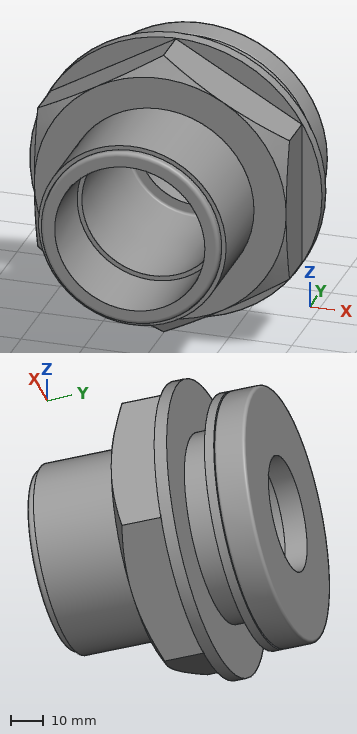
import cadquery as cq
import math

total_length = 74.0
tip_length = 2.6
nut_front = 31.1
nut_hex_length = 16.0
nut_collar_length = 4.0
gasket_thickness = 3.0
flange_thickness = 10.0
flange_front = total_length - flange_thickness
gasket_front = flange_front - gasket_thickness

collar_radius = 46.5
flange_radius = 40.1
tube_radius = 29.85
tip_radius = 28.5
tip_round = 1.2
flange_round = 1.0

socket_radius = 23.9
socket_depth = 23.0
taper_start_radius = 22.4
taper_end_radius = 21.9
taper_end = 67.0
bore_round = 0.8
hole_radius = 18.1

hex_corner_radius = flange_radius / math.cos(math.pi / 6)
chamfer_length = 3.4


def cylinder(radius, start, length):
    """Solid cylinder along +Y, starting at the given Y position."""
    return cq.Workplane("XZ", origin=(0, start, 0)).circle(radius).extrude(-length)


def make_bore():
    """Revolved cutter for the socket, the tapered bore and the end hole."""
    profile = (
        cq.Workplane("XY")
        .lineTo(socket_radius, 0)
        .lineTo(socket_radius, socket_depth)
        .lineTo(taper_start_radius, socket_depth)
        .lineTo(taper_end_radius, taper_end - bore_round)
        .radiusArc((taper_end_radius - bore_round, taper_end), -bore_round)
        .lineTo(hole_radius, taper_end)
        .lineTo(hole_radius, total_length)
        .lineTo(0, total_length)
        .close()
    )
    return profile.revolve(360, (0, 0, 0), (0, 1, 0))


def make_housing():
    """Flanged tube with a rounded tip and a stepped bore."""
    tip = cylinder(tip_radius, 0, tip_length).faces("<Y").edges().fillet(tip_round)
    tube = cylinder(tube_radius, tip_length, flange_front - tip_length)
    flange = cylinder(flange_radius, flange_front, flange_thickness).edges().fillet(flange_round)
    return tip.union(tube).union(flange).cut(make_bore())


def make_gasket():
    """Flat sealing ring against the front of the flange."""
    ring = cylinder(flange_radius, gasket_front, gasket_thickness)
    return ring.cut(cylinder(tube_radius, gasket_front, gasket_thickness))


def make_nut():
    """Hexagon nut with chamfered corners and a round collar."""
    hexagon = (
        cq.Workplane("XZ", origin=(0, nut_front, 0))
        .transformed(rotate=(0, 0, 90))
        .polygon(6, 2 * hex_corner_radius)
        .extrude(-nut_hex_length)
    )
    chamfer_envelope = (
        cq.Workplane("XY", origin=(0, nut_front, 0))
        .lineTo(flange_radius, 0)
        .lineTo(hex_corner_radius, chamfer_length)
        .lineTo(hex_corner_radius, nut_hex_length)
        .lineTo(0, nut_hex_length)
        .close()
        .revolve(360, (0, 0, 0), (0, 1, 0))
    )
    collar = cylinder(collar_radius, nut_front + nut_hex_length, nut_collar_length)
    thread_hole = cylinder(tube_radius, nut_front, nut_hex_length + nut_collar_length)
    return hexagon.intersect(chamfer_envelope).union(collar).cut(thread_hole)


housing = make_housing()
gasket = make_gasket()
nut = make_nut()

result = cq.Compound.makeCompound([housing.val(), gasket.val(), nut.val()])